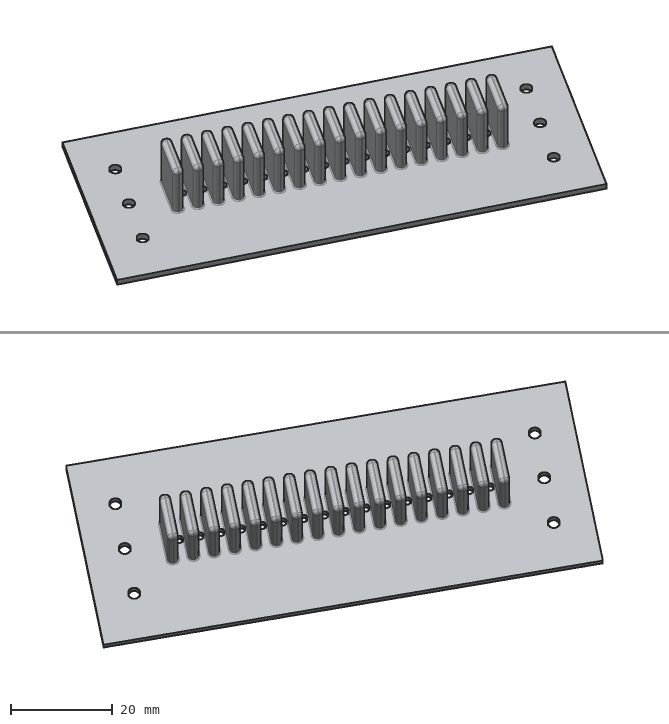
import cadquery as cq

PLATE_WIDTH = 40.0
PLATE_LENGTH = 100.0
PLATE_THICKNESS = 1.5
PLATE_BOTTOM_FILLET = 0.25
TOTAL_HEIGHT = 12.9

FIN_COUNT = 17
FIN_WIDTH = 10.0
FIN_THICKNESS = 2.15
FIN_GAP = 2.0
FIN_PITCH = FIN_THICKNESS + FIN_GAP
FIN_ROUND = 1.0
FIN_HEIGHT = TOTAL_HEIGHT - PLATE_THICKNESS
ROOT_FILLET = 0.25

VENT_DIAMETER = 1.6
MOUNT_DIAMETER = 2.4
MOUNT_COLUMNS = 3
MOUNT_ROWS = 2
MOUNT_PITCH_X = 10.0
MOUNT_PITCH_Y = 84.0


def centred_row(count, pitch):
    """Positions of evenly spaced items, centred on zero."""
    first = -pitch * (count - 1) / 2
    return [first + pitch * index for index in range(count)]


def make_plate():
    """Flat rectangular plate standing on Z = 0, with rounded bottom edges."""
    plate = cq.Workplane("XY").box(
        PLATE_WIDTH, PLATE_LENGTH, PLATE_THICKNESS, centered=(True, True, False)
    )
    return plate.faces("<Z").edges().fillet(PLATE_BOTTOM_FILLET)


def make_fin(y):
    """Upright fin on the plate, with rounded ends and a rounded top."""
    fin = cq.Workplane("XY").box(
        FIN_WIDTH, FIN_THICKNESS, FIN_HEIGHT, centered=(True, True, False)
    )
    fin = fin.edges("|Z").fillet(FIN_ROUND)
    fin = fin.faces(">Z").edges().fillet(FIN_ROUND)
    return fin.translate((0, y, PLATE_THICKNESS))


def add_fins(body):
    """Join the fins to the plate and fillet their roots."""
    for y in centred_row(FIN_COUNT, FIN_PITCH):
        body = body.union(make_fin(y))
    reach_x = FIN_WIDTH / 2 + FIN_GAP
    reach_y = (FIN_PITCH * (FIN_COUNT - 1) + FIN_THICKNESS) / 2 + FIN_GAP
    root_edges = cq.selectors.BoxSelector(
        (-reach_x, -reach_y, PLATE_THICKNESS - ROOT_FILLET),
        (reach_x, reach_y, PLATE_THICKNESS + ROOT_FILLET),
    )
    return body.edges(root_edges).fillet(ROOT_FILLET)


def cut_holes(body, points, diameter):
    """Cut round holes through the plate and any fin root fillet they reach."""
    drills = (
        cq.Workplane("XY")
        .pushPoints(points)
        .circle(diameter / 2)
        .extrude(PLATE_THICKNESS + ROOT_FILLET)
    )
    return body.cut(drills)


vent_points = [(0, y) for y in centred_row(FIN_COUNT - 1, FIN_PITCH)]
mount_points = [
    (x, y)
    for x in centred_row(MOUNT_COLUMNS, MOUNT_PITCH_X)
    for y in centred_row(MOUNT_ROWS, MOUNT_PITCH_Y)
]

result = add_fins(make_plate())
result = cut_holes(result, vent_points, VENT_DIAMETER)
result = cut_holes(result, mount_points, MOUNT_DIAMETER)